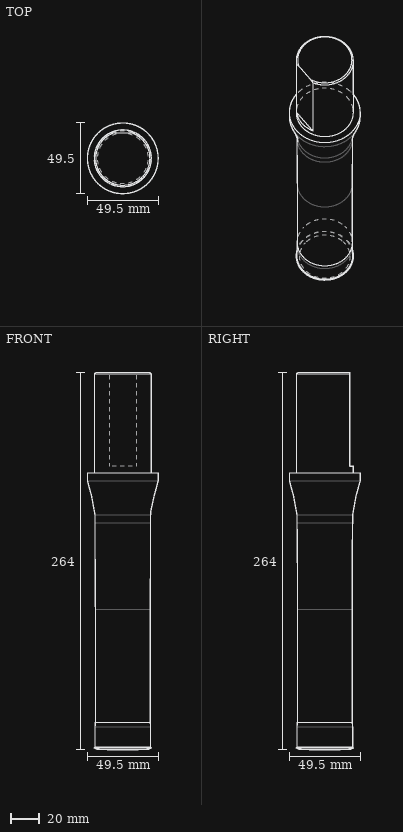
import cadquery as cq
import math

total_height = 264.0
head_top = 19.5
rod_top = 98.5
land_bottom = 159.0
land_top = 164.5
cone_corner = 168.0
collar_bottom = 188.2
collar_top = 193.8

shank_radius = 39.9 / 2
collar_radius = 49.5 / 2
land_radius = 39.0 / 2
rod_radius = 38.5 / 2

shank_chamfer = 1.0
flat_depth = 2.5
flat_bottom = collar_top + 4.8

head_radius = land_radius
shoulder_bottom = 16.4
flare_top = 2.0
lip_height = 1.5
lip_radius = 40.0 / 2
end_face_radius = 17.7
end_face_rim = 0.5


def make_holder():
    """Shank, collar, blended cone and tapered rod, revolved about Z."""
    cone_angle = math.atan2(collar_radius - land_radius, collar_bottom - cone_corner)
    blend_length = cone_corner - land_top
    blend_top = (
        land_radius + blend_length * math.sin(cone_angle),
        cone_corner + blend_length * math.cos(cone_angle),
    )
    profile = (
        cq.Workplane("XZ")
        .moveTo(0, head_top)
        .lineTo(rod_radius, head_top)
        .lineTo(rod_radius, rod_top)
        .lineTo(land_radius, land_bottom)
        .lineTo(land_radius, land_top)
        .spline(
            [blend_top, (collar_radius, collar_bottom)],
            tangents=[(0, 1), (math.sin(cone_angle), math.cos(cone_angle))],
            includeCurrent=True,
        )
        .lineTo(collar_radius, collar_top)
        .lineTo(shank_radius, collar_top)
        .lineTo(shank_radius, total_height - shank_chamfer)
        .lineTo(shank_radius - shank_chamfer, total_height)
        .lineTo(0, total_height)
        .close()
    )
    return profile.revolve(360, (0, 0), (0, 1)).cut(make_flat_cutter())


def make_flat_cutter():
    """Block that removes the flat on the +Y side of the shank."""
    return (
        cq.Workplane("XY")
        .workplane(offset=flat_bottom)
        .center(0, shank_radius - flat_depth / 2)
        .rect(2 * shank_radius, flat_depth)
        .extrude(total_height - flat_bottom)
    )


def make_head():
    """Head with a conical shoulder, a flared lip and a bevelled end."""
    profile = (
        cq.Workplane("XZ")
        .lineTo(end_face_radius, end_face_rim)
        .lineTo(lip_radius, lip_height)
        .lineTo(head_radius, flare_top)
        .lineTo(head_radius, shoulder_bottom)
        .lineTo(rod_radius, head_top)
        .lineTo(0, head_top)
        .close()
    )
    return profile.revolve(360, (0, 0), (0, 1))


holder = make_holder()
head = make_head()
result = cq.Compound.makeCompound([holder.val(), head.val()])